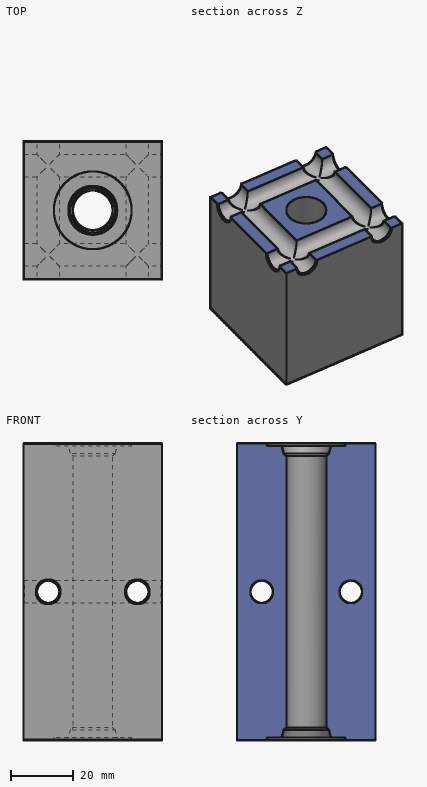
import cadquery as cq

height = 95.25
width = 44.5
edge_chamfer = 0.3

bore_diameter = 12.7
spotface_diameter = 25.0
spotface_depth = 0.9
seat_top_diameter = 15.7
seat_bottom_diameter = 14.4
seat_depth = 2.5
lead_in_depth = 0.8

hole_diameter = 7.1
hole_mouth_diameter = 7.9
hole_spacing = 28.6

half_height = height / 2


def make_block():
    block = cq.Workplane("XY").box(width, width, height)
    return block.faces("<Z or >Z").edges().chamfer(edge_chamfer)


def make_port():
    """Revolved cutter for the upper port: spotface, tapered seat and lead-in, down to mid-height."""
    spotface_z = half_height - spotface_depth
    seat_z = spotface_z - seat_depth
    lead_in_z = seat_z - lead_in_depth
    profile = [
        (0, half_height),
        (spotface_diameter / 2, half_height),
        (spotface_diameter / 2, spotface_z),
        (seat_top_diameter / 2, spotface_z),
        (seat_bottom_diameter / 2, seat_z),
        (bore_diameter / 2, lead_in_z),
        (bore_diameter / 2, 0),
        (0, 0),
    ]
    return cq.Workplane("XZ").polyline(profile).close().revolve(360, (0, 0), (0, 1))


def make_cross_hole(offset):
    """Cutter for a hole along Y at x = offset, with a countersink at each end."""
    sink_depth = (hole_mouth_diameter - hole_diameter) / 2
    profile = [
        (0, -width / 2),
        (hole_mouth_diameter / 2, -width / 2),
        (hole_diameter / 2, sink_depth - width / 2),
        (hole_diameter / 2, width / 2 - sink_depth),
        (hole_mouth_diameter / 2, width / 2),
        (0, width / 2),
    ]
    hole = cq.Workplane("XY").polyline(profile).close().revolve(360, (0, 0), (0, 1))
    return hole.translate((offset, 0, 0))


result = make_block()

upper_port = make_port()
result = result.cut(upper_port).cut(upper_port.mirror("XY"))

for offset in (-hole_spacing / 2, hole_spacing / 2):
    hole_along_y = make_cross_hole(offset)
    hole_along_x = hole_along_y.rotate((0, 0, 0), (0, 0, 1), 90)
    result = result.cut(hole_along_y).cut(hole_along_x)